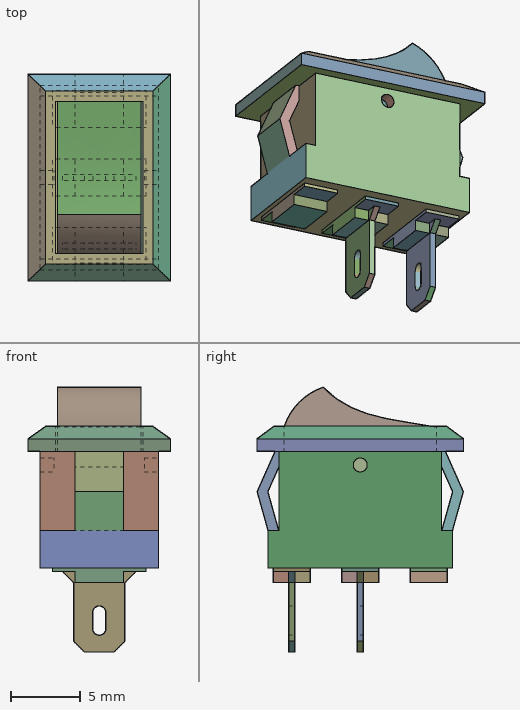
import cadquery as cq


FLANGE_X = 10.2
FLANGE_Y = 14.8
FLANGE_EDGE_HEIGHT = 0.9
FLANGE_TOP_Z = 1.8
BEVEL_INSET_X = 1.27
BEVEL_INSET_Y = 1.22

HOUSING_X = 8.5
HOUSING_Y = 11.64
BASE_Y = 13.2
BASE_TOP_Z = -5.67
BASE_BOTTOM_Z = -8.35

ROCKER_X = 6.0
SIDE_GAP = 0.13
OPENING_Y = 10.88
GAP_DEPTH = 1.8
RIDGE_Y = -2.65
RIDGE_Z = 4.6
REAR_EDGE_Z = 1.74
FINGER_FACE_POINTS = [(1.97, 2.33), (0.5, 2.7), (-1.69, 3.76)]
CONVEX_MID = (-4.42, 3.47)

PIVOT_DIAMETER = 1.0
PIVOT_Z = -0.97
PIVOT_DEPTH = 1.0

CLIP_X = 3.44
CLIP_THICKNESS = 0.78
CLIP_TOP_Y = 6.1
CLIP_KNEE_Y = 7.38
CLIP_KNEE_Z = -2.88
CLIP_INNER_TOP_Z = -1.13

CONTACT_PITCH = 4.9
BLOCK_X = CLIP_X
BLOCK_Y = 2.66
PAD_X = 6.72
PAD_BOTTOM_Z = -8.6
BLOCK_BOTTOM_Z = -9.38

BLADE_X = 3.68
BLADE_THICKNESS = 0.45
BLADE_BOTTOM_Z = -14.35
BLADE_CHAMFER = 0.78
SLOT_WIDTH = 0.92
SLOT_LENGTH = 2.08
SLOT_CENTRE_Z = -12.1


def box(size_x, size_y, bottom_z, top_z, centre_y=0):
    """Block centred on X and on the given Y, between two heights."""
    height = top_z - bottom_z
    block = cq.Workplane("XY").box(size_x, size_y, height, centered=(True, True, False))
    return block.translate((0, centre_y, bottom_z))


def make_flange():
    edge = box(FLANGE_X, FLANGE_Y, 0, FLANGE_EDGE_HEIGHT)
    bevel = (
        cq.Workplane("XY", origin=(0, 0, FLANGE_EDGE_HEIGHT))
        .rect(FLANGE_X, FLANGE_Y)
        .workplane(offset=FLANGE_TOP_Z - FLANGE_EDGE_HEIGHT)
        .rect(FLANGE_X - 2 * BEVEL_INSET_X, FLANGE_Y - 2 * BEVEL_INSET_Y)
        .loft(ruled=True)
    )
    return edge.union(bevel)


def make_housing():
    upper = box(HOUSING_X, HOUSING_Y, BASE_TOP_Z, 0)
    base = box(HOUSING_X, BASE_Y, BASE_BOTTOM_Z, BASE_TOP_Z)
    return upper.union(base)


def make_opening():
    return box(ROCKER_X + 2 * SIDE_GAP, OPENING_Y, FLANGE_TOP_Z - GAP_DEPTH, FLANGE_TOP_Z)


def make_rocker():
    """Side profile with a concave finger face behind the ridge and a convex face in front."""
    end_y = OPENING_Y / 2
    floor_z = FLANGE_TOP_Z - GAP_DEPTH
    return (
        cq.Workplane("YZ", origin=(-ROCKER_X / 2, 0, 0))
        .moveTo(end_y, floor_z)
        .lineTo(end_y, REAR_EDGE_Z)
        .spline(FINGER_FACE_POINTS + [(RIDGE_Y, RIDGE_Z)], includeCurrent=True)
        .threePointArc(CONVEX_MID, (-end_y, FLANGE_TOP_Z))
        .lineTo(-end_y, floor_z)
        .close()
        .extrude(ROCKER_X)
    )


def make_pivot_hole(side):
    """Blind round hole; side is -1 or 1 for the -X or +X face."""
    face = cq.Workplane("YZ", origin=(side * HOUSING_X / 2, 0, PIVOT_Z))
    return face.circle(PIVOT_DIAMETER / 2).extrude(-side * PIVOT_DEPTH)


def make_clip(side):
    """Bent snap arm; side is -1 or 1 for the -Y or +Y end."""
    wall_y = HOUSING_Y / 2
    outline = [
        (wall_y, 0),
        (CLIP_TOP_Y, 0),
        (CLIP_KNEE_Y, CLIP_KNEE_Z),
        (BASE_Y / 2, BASE_TOP_Z),
        (wall_y, BASE_TOP_Z),
        (CLIP_KNEE_Y - CLIP_THICKNESS, CLIP_KNEE_Z),
        (wall_y, CLIP_INNER_TOP_Z),
    ]
    mirrored = [(side * y, z) for y, z in outline]
    return cq.Workplane("YZ").polyline(mirrored).close().extrude(CLIP_X / 2, both=True)


def make_terminal_block(centre_y):
    pad = box(PAD_X, BLOCK_Y, PAD_BOTTOM_Z, BASE_BOTTOM_Z, centre_y)
    block = box(BLOCK_X, BLOCK_Y, BLOCK_BOTTOM_Z, PAD_BOTTOM_Z, centre_y)
    return pad.union(block)


def make_blade(centre_y):
    """Flat blade with sloped shoulders, a chamfered tip and a vertical wire slot."""
    half = BLADE_X / 2
    shoulder_half = half + PAD_BOTTOM_Z - BLOCK_BOTTOM_Z
    right_side = [
        (shoulder_half, PAD_BOTTOM_Z),
        (half, BLOCK_BOTTOM_Z),
        (half, BLADE_BOTTOM_Z + BLADE_CHAMFER),
        (half - BLADE_CHAMFER, BLADE_BOTTOM_Z),
    ]
    left_side = [(-x, z) for x, z in reversed(right_side)]
    plane = cq.Workplane("XZ", origin=(0, centre_y, 0))
    blade = plane.polyline(right_side + left_side).close().extrude(BLADE_THICKNESS / 2, both=True)
    slot_outline = plane.center(0, SLOT_CENTRE_Z).slot2D(SLOT_LENGTH, SLOT_WIDTH, 90)
    slot = slot_outline.extrude(BLADE_THICKNESS, both=True)
    return blade.cut(slot)


body = make_flange().union(make_housing())
body = body.cut(make_opening()).union(make_rocker())

for side in (-1, 1):
    body = body.cut(make_pivot_hole(side)).union(make_clip(side))

for centre_y in (-CONTACT_PITCH, 0, CONTACT_PITCH):
    body = body.union(make_terminal_block(centre_y))

for centre_y in (-CONTACT_PITCH, 0):
    body = body.union(make_blade(centre_y))

result = body